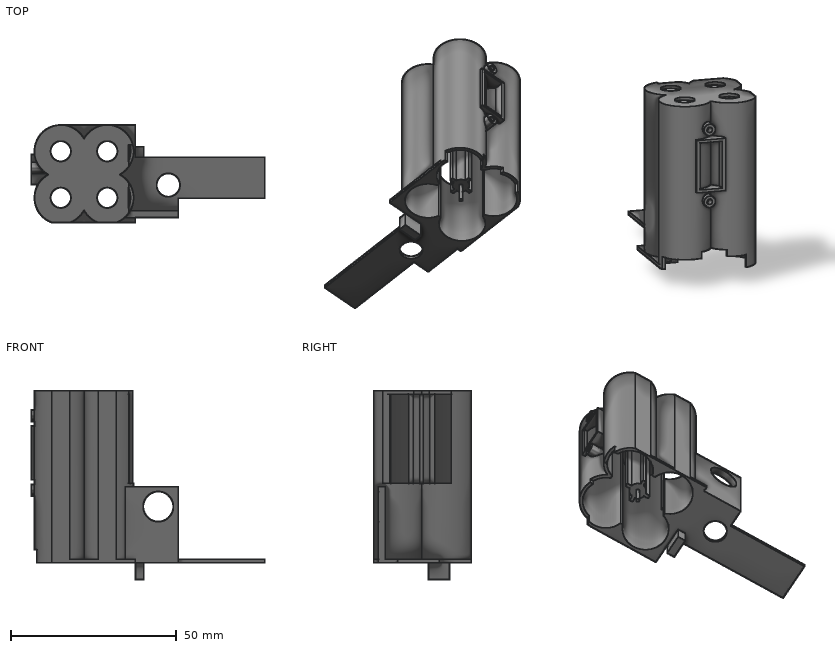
import cadquery as cq
TUBE_SPACING = 14.0
TUBE_RADIUS = 8.0
BORE_RADIUS = 7.0
BODY_HEIGHT = 51.95
CAP_THICKNESS = 1.0
CAP_HOLE_DIAMETER = 6.05
FRONT_FLAT_DEPTH = 0.5

half_spacing = TUBE_SPACING / 2
cluster_reach = half_spacing + TUBE_RADIUS
front_y = -cluster_reach + FRONT_FLAT_DEPTH
tube_centres = [(sx * half_spacing, sy * half_spacing) for sx in (-1, 1) for sy in (-1, 1)]

CHAMBER_HALF_WIDTH = 9.3
CORE_RADIUS = 2.55
CORE_BOTTOM_Z = 6.35
RIB_REACH = 3.95
RIB_THICKNESS = 1.05

BASE_THICKNESS = 1.1
BASE_END_X = 15.5
ARM_START_Y = 5.3
ARM_FRONT_Y = -7.2
ARM_END_X = 54.6
ARM_HOLE_X = 25.45
ARM_HOLE_Y = -3.2
ARM_HOLE_DIAMETER = 7.0

WALL_START_X = 12.4
WALL_END_X = 28.5
WALL_FRONT_Y = -13.05
WALL_THICKNESS = 2.1
WALL_HEIGHT = 23.0
WALL_HOLE_X = 22.4
WALL_HOLE_Z = 17.0
WALL_HOLE_DIAMETER = 9.0

TAB_THICKNESS = 2.55
TAB_START_Y = 2.05
TAB_END_Y = 8.45
TAB_DEPTH = 5.1

WINDOW_X = 13.5
WINDOW_END_Y = 8.95
WINDOW_BOTTOM_Z = 24.0

NOTCH_HEIGHT = 4.0
NOTCH_FRONT_Y = -10.15
NOTCH_DEPTH_X = -8.8
CENTRE_NOTCH_WIDTH = 8.05
CENTRE_NOTCH_HEIGHT = 6.0
CENTRE_NOTCH_DEPTH_X = -4.3

FITTING_FACE_X = -15.9
FRAME_START_Y = -3.0
FRAME_WIDTH = 9.1
FRAME_BOTTOM_Z = 25.0
FRAME_HEIGHT = 16.35
FRAME_SIDE_WALL = 1.05
FRAME_END_WALL = 0.85
POST_Y = 2.0
POST_DIAMETER = 3.6
POST_HOLE_DIAMETER = 1.6
POST_HEIGHTS = (21.9, 44.4)


def block(x0, x1, y0, y1, z0, z1):
    """Axis-aligned box between opposite corners."""
    return cq.Workplane("XY").box(x1 - x0, y1 - y0, z1 - z0, centered=False).translate((x0, y0, z0))


def cylinders(diameter, z0, z1):
    """One vertical cylinder on each tube axis, joined together."""
    joined = cq.Workplane("XY")
    for x, y in tube_centres:
        joined = joined.union(cq.Workplane("XY", origin=(x, y, z0)).circle(diameter / 2).extrude(z1 - z0))
    return joined


def make_tubes():
    """Solid four-lobed body with its -Y lobes shaved flat."""
    infill = block(-half_spacing, half_spacing, -half_spacing, half_spacing, 0, BODY_HEIGHT)
    tubes = cylinders(2 * TUBE_RADIUS, 0, BODY_HEIGHT).union(infill)
    keep = block(-cluster_reach, cluster_reach, front_y, cluster_reach, 0, BODY_HEIGHT)
    return tubes.intersect(keep)


def make_chamber():
    """Square room under the cap, less the round core, its four ribs and the pin below."""
    top_z = BODY_HEIGHT - CAP_THICKNESS
    half_rib = RIB_THICKNESS / 2
    room = block(
        -CHAMBER_HALF_WIDTH, CHAMBER_HALF_WIDTH, -CHAMBER_HALF_WIDTH, CHAMBER_HALF_WIDTH, 0, top_z
    )
    core = (
        cq.Workplane("XY", origin=(0, 0, CORE_BOTTOM_Z))
        .circle(CORE_RADIUS)
        .extrude(top_z - CORE_BOTTOM_Z)
    )
    pin = cq.Workplane("XY").circle(half_rib).extrude(top_z)
    rib_x = block(-RIB_REACH, RIB_REACH, -half_rib, half_rib, CORE_BOTTOM_Z, top_z)
    rib_y = block(-half_rib, half_rib, -RIB_REACH, RIB_REACH, CORE_BOTTOM_Z, top_z)
    return room.cut(core).cut(pin).cut(rib_x).cut(rib_y)


def make_base():
    foot = block(-half_spacing, BASE_END_X, front_y, cluster_reach, 0, BASE_THICKNESS)
    shoulder = block(BASE_END_X, WALL_END_X, WALL_FRONT_Y, ARM_START_Y, 0, BASE_THICKNESS)
    arm = block(WALL_END_X, ARM_END_X, ARM_FRONT_Y, ARM_START_Y, 0, BASE_THICKNESS)
    hole = (
        cq.Workplane("XY")
        .center(ARM_HOLE_X, ARM_HOLE_Y)
        .circle(ARM_HOLE_DIAMETER / 2)
        .extrude(BASE_THICKNESS)
    )
    return foot.union(shoulder).union(arm).cut(hole)


def make_wall():
    back_y = WALL_FRONT_Y + WALL_THICKNESS
    wall = block(WALL_START_X, WALL_END_X, WALL_FRONT_Y, back_y, 0, WALL_HEIGHT)
    hole = (
        cq.Workplane("XZ", origin=(WALL_HOLE_X, back_y, WALL_HOLE_Z))
        .circle(WALL_HOLE_DIAMETER / 2)
        .extrude(WALL_THICKNESS)
    )
    return wall.cut(hole)


def make_tab():
    return block(BASE_END_X, BASE_END_X + TAB_THICKNESS, TAB_START_Y, TAB_END_Y, -TAB_DEPTH, 0)


def make_frame():
    end_y = FRAME_START_Y + FRAME_WIDTH
    top_z = FRAME_BOTTOM_Z + FRAME_HEIGHT
    outer = block(FITTING_FACE_X, -half_spacing, FRAME_START_Y, end_y, FRAME_BOTTOM_Z, top_z)
    inner = block(
        FITTING_FACE_X,
        -half_spacing,
        FRAME_START_Y + FRAME_SIDE_WALL,
        end_y - FRAME_SIDE_WALL,
        FRAME_BOTTOM_Z + FRAME_END_WALL,
        top_z - FRAME_END_WALL,
    )
    return outer.cut(inner)


def make_posts():
    return (
        cq.Workplane("YZ", origin=(FITTING_FACE_X, 0, 0))
        .pushPoints([(POST_Y, z) for z in POST_HEIGHTS])
        .circle(POST_DIAMETER / 2)
        .circle(POST_HOLE_DIAMETER / 2)
        .extrude(-half_spacing - FITTING_FACE_X)
    )


def make_window_cut():
    """Flat across the +X tubes, with a deeper opening into the chamber between them."""
    flat = block(WINDOW_X, cluster_reach, -cluster_reach, WINDOW_END_Y, WINDOW_BOTTOM_Z, BODY_HEIGHT)
    opening = block(
        CHAMBER_HALF_WIDTH,
        cluster_reach,
        -half_spacing,
        half_spacing,
        WINDOW_BOTTOM_Z,
        BODY_HEIGHT - CAP_THICKNESS,
    )
    return flat.union(opening)


def make_notches():
    side = block(-cluster_reach, NOTCH_DEPTH_X, NOTCH_FRONT_Y, cluster_reach, 0, NOTCH_HEIGHT)
    half_width = CENTRE_NOTCH_WIDTH / 2
    centre = block(-cluster_reach, CENTRE_NOTCH_DEPTH_X, -half_width, half_width, 0, CENTRE_NOTCH_HEIGHT)
    return side.union(centre)


bores = cylinders(2 * BORE_RADIUS, 0, BODY_HEIGHT - CAP_THICKNESS)
cap_holes = cylinders(CAP_HOLE_DIAMETER, 0, BODY_HEIGHT)
fittings = make_frame().union(make_posts()).cut(make_tubes())

result = (
    make_tubes()
    .cut(make_window_cut())
    .union(make_base())
    .union(make_wall())
    .union(make_tab())
    .cut(bores)
    .cut(make_chamber())
    .cut(cap_holes)
    .cut(make_notches())
    .union(fittings)
)